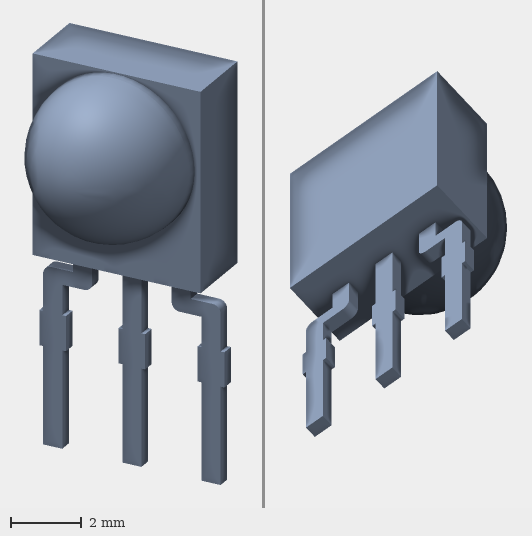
import cadquery as cq

total_height = 12.75
body_width = 5.38
body_height = 6.35
body_depth = 2.25
body_bottom = total_height - body_height

lens_radius = 2.5
lens_base_length = 0.25
lens_below_top = 2.55
lens_z = total_height - lens_below_top

lead_pitch = 2.54
lead_width = 0.61
lead_thickness = 0.4
lead_back_offset = 0.92
root_spacing = 1.58
jog_bottom = 5.16
jog_top = 5.65
bend_radius = 0.25

stop_width = 0.85
stop_bottom = 3.1
stop_top = 4.21


def sheet_box(center_x, width, bottom, top):
    """Upright strip of lead sheet."""
    return (
        cq.Workplane("XY")
        .box(width, lead_thickness, top - bottom, centered=(True, False, False))
        .translate((center_x, -lead_back_offset - lead_thickness, bottom))
    )


def stop(center_x):
    return sheet_box(center_x, stop_width, stop_bottom, stop_top)


def straight_lead():
    return sheet_box(0, lead_width, 0, body_bottom).union(stop(0))


def jogged_lead():
    """Lead on the +X side, stepping outwards below the body."""
    half = lead_width / 2
    root_inner = root_spacing - half
    root_outer = root_spacing + half
    leg_inner = lead_pitch - half
    leg_outer = lead_pitch + half
    outline = [
        (root_inner, body_bottom),
        (root_outer, body_bottom),
        (root_outer, jog_top),
        (leg_outer, jog_top),
        (leg_outer, 0),
        (leg_inner, 0),
        (leg_inner, jog_bottom),
        (root_inner, jog_bottom),
    ]
    strip = (
        cq.Workplane("XZ", origin=(0, -lead_back_offset, 0))
        .polyline(outline)
        .close()
        .extrude(lead_thickness)
    )
    middle_y = -lead_back_offset - lead_thickness / 2
    for corner in [(leg_outer, middle_y, jog_top), (root_inner, middle_y, jog_bottom)]:
        strip = strip.edges(cq.NearestToPointSelector(corner)).fillet(bend_radius)
    return strip.union(stop(lead_pitch))


def lens():
    """Lens revolved about its Y axis, with its foot on the body's front face."""
    dome_start = lens_base_length
    dome_tip = dome_start + lens_radius
    arc_mid = lens_radius * 0.5 ** 0.5
    return (
        cq.Workplane("XY")
        .lineTo(lens_radius, 0)
        .lineTo(lens_radius, -dome_start)
        .threePointArc((arc_mid, -dome_start - arc_mid), (0, -dome_tip))
        .close()
        .revolve(360, (0, 0, 0), (0, 1, 0))
        .translate((0, -body_depth, lens_z))
    )


body = (
    cq.Workplane("XY")
    .box(body_width, body_depth, body_height, centered=(True, False, False))
    .translate((0, -body_depth, body_bottom))
)
right_lead = jogged_lead()
left_lead = right_lead.mirror("YZ")

result = body.union(lens()).union(straight_lead()).union(right_lead).union(left_lead)